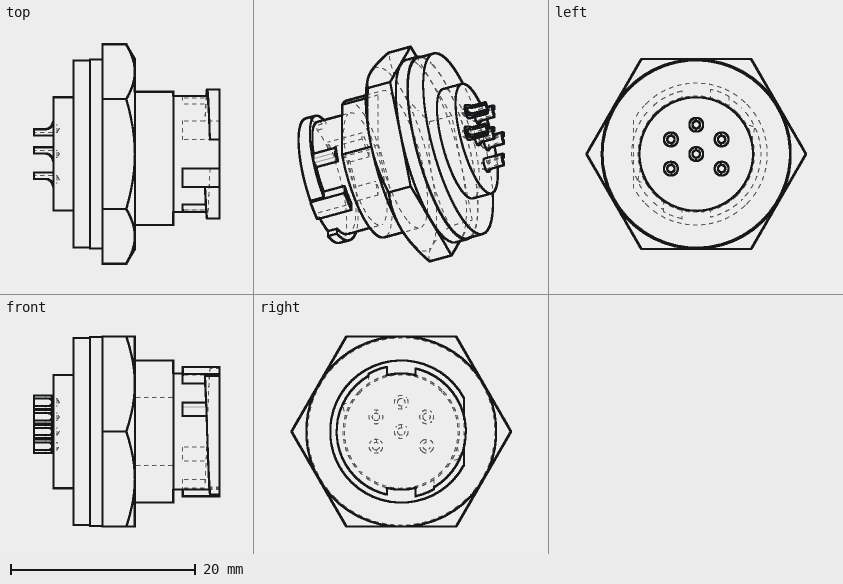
import cadquery as cq
import math


CONTACT_BACK = 0.0
INSERT_BACK = 2.1
FLANGE_BACK = 4.27
GASKET_BACK = 6.07
NUT_BACK = 7.42
NUT_FRONT = 10.92
BODY_FRONT = 15.1
MATING_END = 20.1

INSERT_DIAMETER = 12.3
FLANGE_DIAMETER = 20.3
GASKET_DIAMETER = 20.5
BODY_DIAMETER = 15.4
SPIGOT_DIAMETER = 12.6

BODY_FLAT_Y = 6.77

NUT_ACROSS_FLATS = 20.6
NUT_CHAMFER_ANGLE = 30.0

SET_ANGLES = (0.0, 180.0)
KEY_BACK = 16.1
KEY_RADIUS = 7.18
KEY_INNER_Y = -1.555
KEY_OUTER_Y = -3.56
RIM_RADIUS = 7.0
RIM_START_X = 18.52
RIM_END_X = 19.06
ROOT_OVERLAP = 0.5

RIB_CORNER_Y = -6.36
RIB_CORNER_Z = 2.96
RIB_TILT = 13.0
RIB_CORNER_RADIUS = 0.32
RIB_WIDTH = 1.4
RIB_DEPTH = 1.2
RIB_FRONT = 19.2

CONTACT_CIRCLE_RADIUS = 3.17
CONTACT_ANGLES = (-30, 30, 90, 150, 210)
CONTACT_RADIUS = 0.75
CUP_BORE_RADIUS = 0.4
CUP_BORE_DEPTH = 2.5
DRILL_POINT_ANGLE = 118.0
CUP_FLAT_OFFSET = 0.04
CUP_RUNOUT_RADIUS = 0.8
CUP_RUNOUT_START = 1.25


def disc(diameter, back, front):
    """Cylinder on the X axis between two stations."""
    return cq.Workplane("YZ", origin=(back, 0, 0)).circle(diameter / 2).extrude(front - back)


def make_body():
    """Turned steps, with the flat along the threaded body."""
    flat_cutter = (
        cq.Workplane("XY")
        .box(BODY_FRONT - NUT_FRONT, BODY_DIAMETER, BODY_DIAMETER, centered=(False, False, True))
        .translate((NUT_FRONT, BODY_FLAT_Y, 0))
    )
    return (
        disc(INSERT_DIAMETER, INSERT_BACK, FLANGE_BACK)
        .union(disc(FLANGE_DIAMETER, FLANGE_BACK, GASKET_BACK))
        .union(disc(GASKET_DIAMETER, GASKET_BACK, NUT_BACK))
        .union(disc(BODY_DIAMETER, NUT_BACK, BODY_FRONT).cut(flat_cutter))
        .union(disc(SPIGOT_DIAMETER, BODY_FRONT, MATING_END))
    )


def make_nut():
    """Hexagon with corners on Y; a cone bevels the corners of its mating face."""
    corner_radius = NUT_ACROSS_FLATS / 2 / math.cos(math.radians(30))
    flat_radius = NUT_ACROSS_FLATS / 2
    bevel = (corner_radius - flat_radius) * math.tan(math.radians(NUT_CHAMFER_ANGLE))
    hexagon = (
        cq.Workplane("YZ", origin=(NUT_BACK, 0, 0))
        .polygon(6, 2 * corner_radius)
        .extrude(NUT_FRONT - NUT_BACK)
    )
    bevelled_round = (
        cq.Workplane("XY")
        .moveTo(NUT_BACK, 0)
        .lineTo(NUT_BACK, corner_radius)
        .lineTo(NUT_FRONT - bevel, corner_radius)
        .lineTo(NUT_FRONT, flat_radius)
        .lineTo(NUT_FRONT, 0)
        .close()
        .revolve(360, (0, 0, 0), (1, 0, 0))
    )
    return hexagon.intersect(bevelled_round)


def make_key():
    """Straight-sided key on the upper -Y side, with a round crown."""
    slab = (
        cq.Workplane("XY")
        .box(
            MATING_END - KEY_BACK,
            KEY_INNER_Y - KEY_OUTER_Y,
            KEY_RADIUS,
            centered=False,
        )
        .translate((KEY_BACK, KEY_OUTER_Y, 0))
    )
    return slab.intersect(disc(2 * KEY_RADIUS, KEY_BACK, MATING_END))


def make_rim():
    """Rim round the -Y side; its back face climbs as a helix from the key to the free end."""
    key_angle = math.degrees(math.asin(-KEY_OUTER_Y / RIM_RADIUS))
    free_angle = 180 - math.degrees(math.asin(-KEY_INNER_Y / RIM_RADIUS))
    rise_per_degree = (RIM_END_X - RIM_START_X) / (free_angle - key_angle)
    start_x = RIM_START_X - rise_per_degree * key_angle
    root_radius = SPIGOT_DIAMETER / 2 - ROOT_OVERLAP

    helix = cq.Wire.makeHelix(360 * rise_per_degree, 180 * rise_per_degree, RIM_RADIUS)
    half_turn = (
        cq.Workplane("XZ")
        .moveTo(root_radius, 0)
        .lineTo(RIM_RADIUS, 0)
        .lineTo(RIM_RADIUS, MATING_END - start_x)
        .lineTo(root_radius, MATING_END - start_x)
        .close()
        .sweep(cq.Workplane(helix), isFrenet=True)
        .rotate((0, 0, 0), (0, 0, 1), 90)
        .val()
        .moved(cq.Plane.named("YZ", (start_x, 0, 0)).location)
    )
    trim = (
        cq.Workplane("XY")
        .box(MATING_END - start_x, RIM_RADIUS, 2 * RIM_RADIUS, centered=(False, False, True))
        .translate((start_x, KEY_INNER_Y - RIM_RADIUS, 0))
    )
    return trim.intersect(cq.Workplane(half_turn))


def make_rib():
    """Tilted bar standing out of the spigot, with its upper outer edge rounded."""
    return (
        cq.Workplane("XY")
        .box(RIB_FRONT - KEY_BACK, RIB_DEPTH, RIB_WIDTH, centered=False)
        .edges("|X and <Y and >Z")
        .fillet(RIB_CORNER_RADIUS)
        .translate((0, 0, -RIB_WIDTH))
        .rotate((0, 0, 0), (1, 0, 0), RIB_TILT)
        .translate((KEY_BACK, RIB_CORNER_Y, RIB_CORNER_Z))
    )


def make_contact(open_side):
    """Pin on the X axis, cut open to about half its section on the +Y (1) or -Y (-1) side."""
    flat_y = -open_side * CUP_FLAT_OFFSET
    runout_y = flat_y + open_side * CUP_RUNOUT_RADIUS
    runout_end = CUP_RUNOUT_START + CUP_RUNOUT_RADIUS
    arc_middle = CUP_RUNOUT_RADIUS * math.sqrt(0.5)
    opening = (
        cq.Workplane("XY", origin=(0, 0, -CONTACT_RADIUS))
        .moveTo(CONTACT_BACK, flat_y)
        .lineTo(CUP_RUNOUT_START, flat_y)
        .threePointArc(
            (CUP_RUNOUT_START + arc_middle, runout_y - open_side * arc_middle),
            (runout_end, runout_y),
        )
        .lineTo(CONTACT_BACK, runout_y)
        .close()
        .extrude(2 * CONTACT_RADIUS)
    )
    return disc(2 * CONTACT_RADIUS, CONTACT_BACK, FLANGE_BACK).cut(opening)


def make_cup_bore():
    """Drilled hole of a solder cup, with a conical bottom."""
    point_length = CUP_BORE_RADIUS / math.tan(math.radians(DRILL_POINT_ANGLE / 2))
    bore_end = CONTACT_BACK + CUP_BORE_DEPTH
    return (
        cq.Workplane("XY")
        .moveTo(CONTACT_BACK, 0)
        .lineTo(CONTACT_BACK, CUP_BORE_RADIUS)
        .lineTo(bore_end, CUP_BORE_RADIUS)
        .lineTo(bore_end + point_length, 0)
        .close()
        .revolve(360, (0, 0, 0), (1, 0, 0))
    )


def contact_places():
    """(y, z, open side) of each contact: one central, five on a circle. Those on +Y open outward."""
    places = [(0.0, 0.0, -1)]
    for angle in CONTACT_ANGLES:
        y = CONTACT_CIRCLE_RADIUS * math.cos(math.radians(angle))
        z = CONTACT_CIRCLE_RADIUS * math.sin(math.radians(angle))
        open_side = 1 if y > CONTACT_RADIUS else -1
        places.append((y, z, open_side))
    return places


result = make_body().union(make_nut())

for make_feature in (make_key, make_rim, make_rib):
    feature = make_feature()
    for set_angle in SET_ANGLES:
        result = result.union(feature.rotate((0, 0, 0), (1, 0, 0), set_angle))

for y, z, open_side in contact_places():
    result = result.union(make_contact(open_side).translate((0, y, z)))
    result = result.cut(make_cup_bore().translate((0, y, z)))